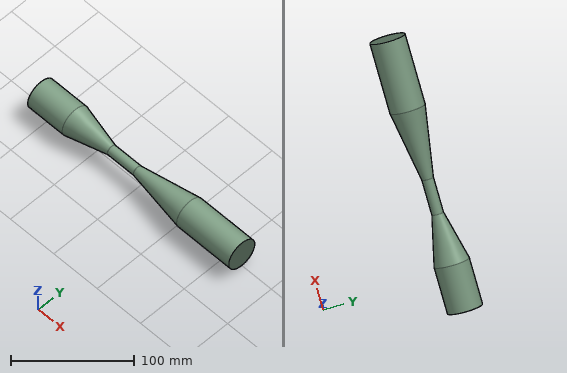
import cadquery as cq

total_length = 232.0
end_diameter = 30.0
neck_diameter = 10.0
left_end_length = 40.0
neck_length = 30.0
right_end_length = 60.0
right_taper_length = 60.0

end_radius = end_diameter / 2
neck_radius = neck_diameter / 2

left_face = -total_length / 2
right_face = total_length / 2
left_taper_start = left_face + left_end_length
right_taper_end = right_face - right_end_length
neck_end = right_taper_end - right_taper_length
neck_start = neck_end - neck_length

half_profile = (
    cq.Workplane("XY")
    .moveTo(left_face, 0)
    .lineTo(left_face, end_radius)
    .lineTo(left_taper_start, end_radius)
    .lineTo(neck_start, neck_radius)
    .lineTo(neck_end, neck_radius)
    .lineTo(right_taper_end, end_radius)
    .lineTo(right_face, end_radius)
    .lineTo(right_face, 0)
    .close()
)

result = half_profile.revolve(360, (0, 0, 0), (1, 0, 0))